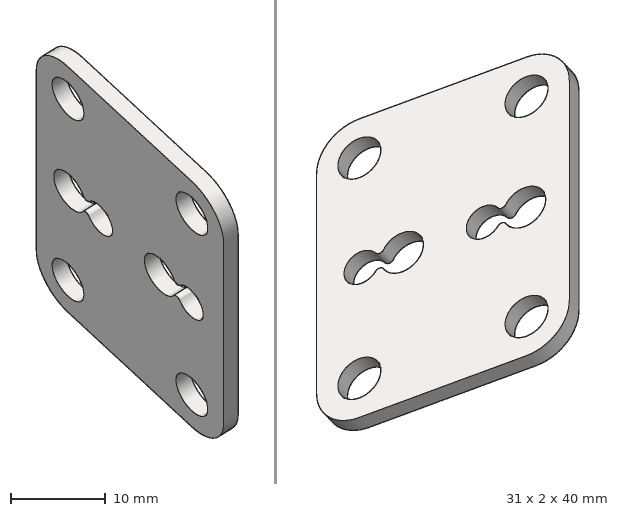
import cadquery as cq
import math

plate_width = 31.0
plate_height = 40.0
plate_thickness = 2.0

corner_radius = 5.25
mounting_hole_diameter = 5.25

entry_radius = 2.6
seat_radius = 2.125
entry_to_seat = 5.0
neck_radius = 0.6
keyhole_count = 2
keyhole_pitch = 15.0
keyhole_row_length = (keyhole_count - 1) * keyhole_pitch + entry_to_seat
entry_positions = [i * keyhole_pitch - keyhole_row_length / 2 for i in range(keyhole_count)]


def make_plate():
    """Rectangular plate with rounded corners, centred on the origin."""
    plate = cq.Workplane("XZ").rect(plate_width, plate_height).extrude(plate_thickness / 2, both=True)
    return plate.edges("|Y").fillet(corner_radius)


def make_mounting_holes():
    """Through cutters for the four corner holes."""
    spacing_x = plate_width - 2 * corner_radius
    spacing_z = plate_height - 2 * corner_radius
    return (
        cq.Workplane("XZ")
        .rect(spacing_x, spacing_z, forConstruction=True)
        .vertices()
        .circle(mounting_hole_diameter / 2)
        .extrude(plate_thickness, both=True)
    )


def make_keyhole(entry_x):
    """Through cutter for one keyhole whose entry hole is centred at entry_x."""
    seat_x = entry_x + entry_to_seat

    entry_reach = entry_radius + neck_radius
    seat_reach = seat_radius + neck_radius
    neck_offset = (entry_to_seat**2 + entry_reach**2 - seat_reach**2) / (2 * entry_to_seat)
    neck_x = entry_x + neck_offset
    neck_z = math.sqrt(entry_reach**2 - neck_offset**2)

    entry_tangent_x = entry_x + neck_offset * entry_radius / entry_reach
    entry_tangent_z = neck_z * entry_radius / entry_reach
    seat_tangent_x = seat_x + (neck_x - seat_x) * seat_radius / seat_reach
    seat_tangent_z = neck_z * seat_radius / seat_reach
    neck_half_gap = neck_z - neck_radius

    return (
        cq.Workplane("XZ")
        .moveTo(entry_tangent_x, -entry_tangent_z)
        .threePointArc((entry_x - entry_radius, 0), (entry_tangent_x, entry_tangent_z))
        .threePointArc((neck_x, neck_half_gap), (seat_tangent_x, seat_tangent_z))
        .threePointArc((seat_x + seat_radius, 0), (seat_tangent_x, -seat_tangent_z))
        .threePointArc((neck_x, -neck_half_gap), (entry_tangent_x, -entry_tangent_z))
        .close()
        .extrude(plate_thickness, both=True)
    )


result = make_plate().cut(make_mounting_holes())
for entry_position in entry_positions:
    result = result.cut(make_keyhole(entry_position))